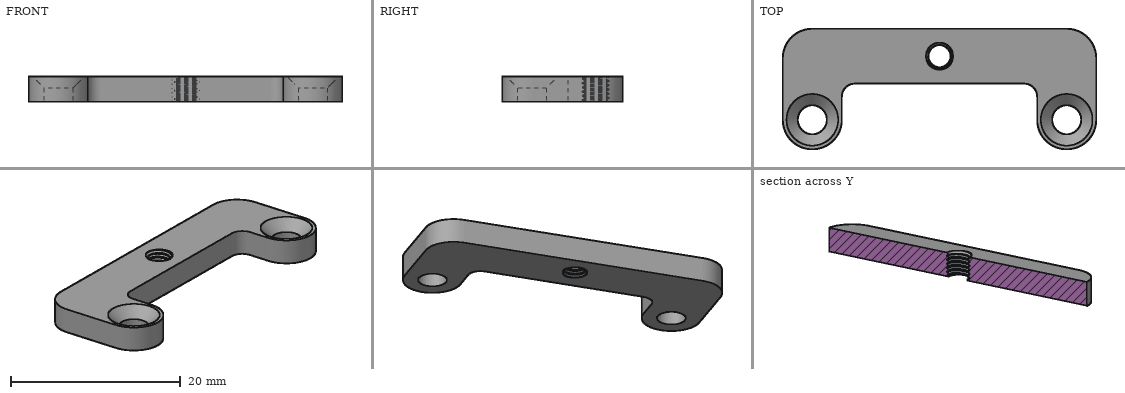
import cadquery as cq
import math

length = 37.0
depth = 14.25
thickness = 3.0
bar_width = 6.5
leg_width = 7.0
leg_radius = leg_width / 2
inner_radius = 1.5

screw_diameter = 3.4
countersink_diameter = 6.1
countersink_angle = 90.0
screw_x = length / 2 - leg_radius
screw_y = leg_radius - depth / 2

thread_diameter = 3.2
thread_bore_diameter = 2.6
thread_pitch = 0.5
thread_flank_angle = 60.0
thread_root_flat = 0.03
thread_run_in = 0.65
thread_run_out = 0.85
thread_mouth_diameter = thread_diameter
thread_y = depth / 2 - bar_width / 2

overlap = 0.05


def make_plate():
    """U-shaped plate: a bar with two legs that end in full rounds."""
    side_x = length / 2
    back_y = depth / 2
    gap_x = side_x - leg_width
    gap_y = back_y - bar_width
    front_y = -depth / 2
    outline = (
        cq.Workplane("XY")
        .moveTo(-side_x, screw_y)
        .lineTo(-side_x, back_y)
        .lineTo(side_x, back_y)
        .lineTo(side_x, screw_y)
        .threePointArc((screw_x, front_y), (gap_x, screw_y))
        .lineTo(gap_x, gap_y)
        .lineTo(-gap_x, gap_y)
        .lineTo(-gap_x, screw_y)
        .threePointArc((-screw_x, front_y), (-side_x, screw_y))
        .close()
    )
    plate = outline.extrude(thickness)
    plate = plate.faces(">Y").edges("|Z").fillet(leg_radius)
    inner_corners = cq.selectors.BoxSelector(
        (-side_x, gap_y - overlap, 0),
        (side_x, gap_y + overlap, thickness),
    )
    return plate.edges("|Z").edges(inner_corners).fillet(inner_radius)


def cut_screw_holes(plate):
    """Through holes countersunk from the top face."""
    return (
        plate.faces(">Z")
        .workplane(origin=(0, 0, thickness))
        .pushPoints([(-screw_x, screw_y), (screw_x, screw_y)])
        .cskHole(screw_diameter, countersink_diameter, countersink_angle)
    )


def make_thread_groove():
    """Helical groove with a flat root that runs out past both faces of the plate."""
    bore_radius = thread_bore_diameter / 2
    inner = bore_radius - overlap
    outer = thread_diameter / 2
    outer_half_width = thread_root_flat / 2
    flank_slope = math.tan(math.radians(thread_flank_angle / 2))
    inner_half_width = outer_half_width + (outer - inner) * flank_slope
    helix = cq.Wire.makeHelix(thread_pitch, thread_run_in + thickness + thread_run_out, bore_radius)
    groove = (
        cq.Workplane("XZ")
        .moveTo(inner, -inner_half_width)
        .lineTo(outer, -outer_half_width)
        .lineTo(outer, outer_half_width)
        .lineTo(inner, inner_half_width)
        .close()
        .sweep(cq.Workplane(obj=helix), isFrenet=True)
    )
    return groove.translate((0, thread_y, -thread_run_in))


def cut_threaded_hole(plate):
    """Bore with a chamfered mouth at the top and a helical thread groove."""
    bore = (
        cq.Workplane("XY")
        .center(0, thread_y)
        .circle(thread_bore_diameter / 2)
        .extrude(thickness)
    )
    mouth_depth = (thread_mouth_diameter - thread_bore_diameter) / 2
    mouth = cq.Workplane(
        obj=cq.Solid.makeCone(
            thread_bore_diameter / 2,
            thread_mouth_diameter / 2,
            mouth_depth,
            pnt=cq.Vector(0, thread_y, thickness - mouth_depth),
        )
    )
    return plate.cut(make_thread_groove()).cut(bore).cut(mouth)


result = cut_threaded_hole(cut_screw_holes(make_plate()))